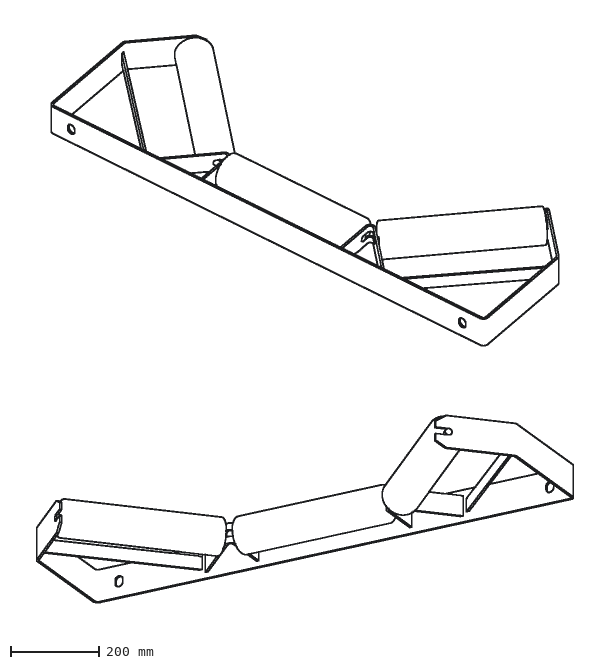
import cadquery as cq
import math

thickness = 5.3
bend_radius = 12.0

frame_length = 1240.0
frame_width = 79.0
arm_tip_y = 413.0

slot_width = 20.0
slot_height = 26.0
slot_x = 557.0

roller_diameter = 89.0
roller_length = 380.0
roller_edge_radius = 5.0
shaft_diameter = 16.0
support_gap = 390.0
middle_roller_y = 99.0
side_roller_x = 366.0
side_roller_y = 249.0
tilt = 45.0

bracket_width = 50.0

taper_length = 25.0
tip_width = 48.0

brace_width = 32.0
brace_foot_x = 341.0
brace_angle = 44.3

half_length = frame_length / 2
half_gap = support_gap / 2
shaft_length = support_gap + 2 * thickness
tilt_cos = math.cos(math.radians(tilt))
tilt_sin = math.sin(math.radians(tilt))


def left_roller_point(along, above):
    """Point in the left roller's tilted system: along its axis to the lower end, and square above it."""
    x = -side_roller_x + along * tilt_cos + above * tilt_sin
    y = side_roller_y - along * tilt_sin + above * tilt_cos
    return (x, y)


def place_on_left_roller(body):
    """Move a body made about the origin, with the roller along X, to the left roller."""
    return body.rotate((0, 0, 0), (0, 0, 1), -tilt).translate((-side_roller_x, side_roller_y, 0))


def place_on_middle_roller(body):
    return body.translate((0, middle_roller_y, 0))


def mirrored(body):
    return body.mirror("YZ")


arm_outer_face = half_gap + thickness
arm_tip_above = (arm_tip_y - side_roller_y - arm_outer_face * tilt_sin) / tilt_cos

arm_face_point = left_roller_point(half_gap, 0)
bracket_corner_y = arm_face_point[1] + (-half_gap - arm_face_point[0]) * tilt_cos / tilt_sin
bend_half_angle = math.radians(90 - tilt) / 2
bracket_top_y = bracket_corner_y + bend_radius * (1 - 1 / math.tan(bend_half_angle))
bracket_tip_above = bracket_top_y - middle_roller_y


def bent_strip(outer_points, width):
    """Strip whose outer face follows the points; the material lies left of the path."""
    headings = []
    for (x0, y0), (x1, y1) in zip(outer_points, outer_points[1:]):
        headings.append(math.atan2(y1 - y0, x1 - x0))
    into = [headings[0]] + headings
    out_of = headings + [headings[-1]]

    inner_points = []
    for (x, y), a, b in zip(outer_points, into, out_of):
        mitre = thickness / math.cos((b - a) / 2)
        normal = (a + b) / 2 + math.pi / 2
        inner_points.append((x + mitre * math.cos(normal), y + mitre * math.sin(normal)))

    strip = cq.Workplane("XY").polyline(outer_points + inner_points[::-1]).close()
    strip = strip.extrude(width / 2, both=True)
    for outer, inner in zip(outer_points[1:-1], inner_points[1:-1]):
        strip = strip.edges(cq.NearestToPointSelector((*outer, 0))).fillet(bend_radius)
        strip = strip.edges(cq.NearestToPointSelector((*inner, 0))).fillet(bend_radius - thickness)
    return strip


def shaft_slot(tip_above, depth):
    """Open slot for the shaft at a roller's -X end, with the roller axis at the origin."""
    plane = cq.Workplane("YZ", origin=(-half_gap - depth, 0, 0))
    mouth = plane.center(tip_above / 2, 0).rect(tip_above, shaft_diameter).extrude(depth)
    return plane.circle(shaft_diameter / 2).extrude(depth).union(mouth)


def taper_cutter():
    """The two corners taken off a frame arm's tip, with the roller axis at the origin."""
    plane = cq.Workplane("YZ", origin=(-arm_outer_face, 0, 0))
    cutter = cq.Workplane("YZ")
    for side in (1, -1):
        corner = [
            (arm_tip_above - taper_length, side * frame_width / 2),
            (arm_tip_above, side * tip_width / 2),
            (arm_tip_above, side * frame_width / 2),
        ]
        cutter = cutter.add(plane.polyline(corner).close().extrude(thickness))
    return cutter.combine()


def make_frame():
    arm_tip = left_roller_point(-arm_outer_face, arm_tip_above)
    wall_top = (-half_length, arm_tip[1] - (arm_tip[0] + half_length) * tilt_cos / tilt_sin)
    left_half = [arm_tip, wall_top, (-half_length, 0)]
    right_half = [(-x, y) for x, y in reversed(left_half)]
    frame = bent_strip(left_half + right_half, frame_width)

    left_cutter = place_on_left_roller(shaft_slot(arm_tip_above, thickness).union(taper_cutter()))
    frame = frame.cut(left_cutter).cut(mirrored(left_cutter))

    slots = (
        cq.Workplane("XZ")
        .pushPoints([(-slot_x, 0), (slot_x, 0)])
        .slot2D(slot_height, slot_width, 90)
        .extrude(-thickness)
    )
    return frame.cut(slots)


def trim_inside_frame(body):
    """Keep the part of a body between the side walls and above the base."""
    space = cq.Workplane("XY").box(
        frame_length - 2 * thickness, arm_tip_y, frame_width, centered=(True, False, True)
    )
    return body.intersect(space.translate((0, thickness, 0)))


def make_left_bracket():
    corner = (-half_gap, bracket_corner_y)
    upright_foot = (-half_gap, 0)
    arm_foot = (corner[0] - bracket_corner_y * tilt_sin / tilt_cos, 0)
    bracket = bent_strip([arm_foot, corner, upright_foot][::-1], bracket_width)

    cutter = shaft_slot(bracket_tip_above, bend_radius)
    bracket = bracket.cut(place_on_middle_roller(cutter))
    bracket = bracket.cut(place_on_left_roller(mirrored(cutter)))
    return trim_inside_frame(bracket)


def make_left_brace():
    bar = cq.Workplane("XY").box(frame_length, thickness, brace_width)
    bar = bar.translate((0, -thickness / 2, 0)).rotate((0, 0, 0), (0, 0, 1), -brace_angle)
    return trim_inside_frame(bar.translate((-brace_foot_x, thickness, 0)))


def centred_cylinder(diameter, length):
    """Cylinder along X, centred on the origin."""
    return cq.Workplane("YZ", origin=(-length / 2, 0, 0)).circle(diameter / 2).extrude(length)


def make_roller():
    """Roller along X about the origin, in one piece with its shaft."""
    barrel = centred_cylinder(roller_diameter, roller_length).edges().fillet(roller_edge_radius)
    return barrel.union(centred_cylinder(shaft_diameter, shaft_length))


frame = make_frame()

left_bracket = make_left_bracket()
brackets = [left_bracket, mirrored(left_bracket)]

left_brace = make_left_brace()
braces = [left_brace, mirrored(left_brace)]

middle_roller = place_on_middle_roller(make_roller())
left_roller = place_on_left_roller(make_roller())
rollers = [middle_roller, left_roller, mirrored(left_roller)]

bodies = [frame] + brackets + braces + rollers
result = cq.Compound.makeCompound([body.val() for body in bodies])